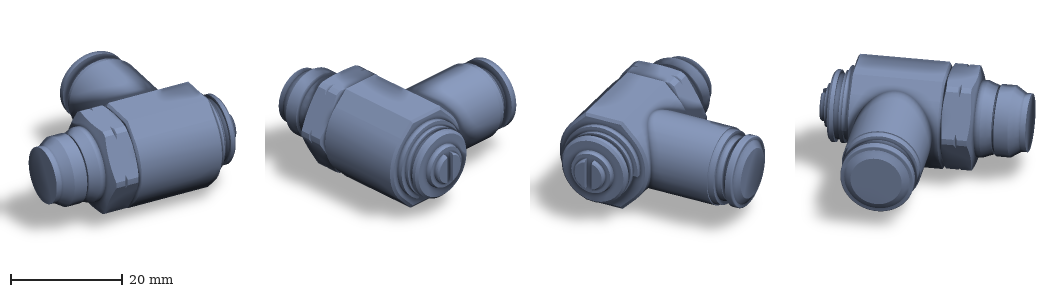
import cadquery as cq
import math


body_width = 18.0
body_half_length = 8.55
body_chamfer_axial = 0.55
body_chamfer_radial = 0.38

nut_flats = 17.0
nut_corner_radius = 9.5
nut_start = -body_half_length
nut_end = -14.45
nut_rear_radius = 8.17
nut_front_radius = 7.0
nut_rear_chamfer_axial = 0.5
nut_front_chamfer_axial = 0.85
notch_depth = 0.4
notch_half_width = 0.25

stem_profile = [
    (nut_end, nut_front_radius),
    (-15.45, nut_front_radius),
    (-17.48, 6.25),
    (-17.48, 5.78),
    (-17.67, 5.78),
    (-17.95, 6.55),
    (-20.5, 6.55),
    (-22.42, 5.32),
    (-23.52, 5.32),
]

disc_radius = 7.5
disc_top = 9.6
groove_radius = 5.93
flange_radius = 6.57
slot_floor = 13.45
knob_profile = [
    (body_half_length, disc_radius),
    (disc_top, disc_radius),
    (disc_top, flange_radius),
    (10.35, flange_radius),
    (10.35, groove_radius),
    (11.35, groove_radius),
    (11.35, flange_radius),
    (12.1, flange_radius),
    (12.55, 6.1),
    (12.55, 4.2),
    (12.8, 4.1),
    (slot_floor, 3.95),
    (slot_floor, 3.0),
    (14.17, 3.0),
    (14.48, 2.75),
]
screw_slot_width = 1.45

recess_start_angle = 186.0
recess_end_angle = 295.0
recess_clearance = 0.38

arm_radius = 7.25
sleeve_radius = 6.73
sleeve_round = 0.23
sleeve_face = -24.93
arm_profile = [
    (0, arm_radius),
    (-20.25, arm_radius),
    (-20.25, 7.03),
    (-21.45, 6.88),
    (-21.45, 6.1),
    (-22.55, 5.93),
    (-22.55, 4.95),
    (-23.2, 4.95),
    (-23.65, 5.3),
    (-23.65, sleeve_radius),
]
sleeve_mouth_radius = 5.95
arm_tip = -25.75
arm_tip_radius = 4.67


def turned_on_y(profile):
    """Solid of revolution about Y from (Y, radius) points."""
    outline = [(radius, y) for y, radius in profile]
    outline = [(0, profile[0][0])] + outline + [(0, profile[-1][0])]
    return cq.Workplane("XY").polyline(outline).close().revolve(360, (0, 0, 0), (0, 1, 0))


def bar_on_y(start, end):
    """Workplane across Y at the bar's +Y end, and the length to extrude toward -Y."""
    return cq.Workplane("XZ", origin=(0, start, 0)), start - end


def make_body():
    radius = body_width / 2
    flat_half = radius * math.tan(math.pi / 8)
    tangent = radius * math.cos(math.pi / 4)
    plane, length = bar_on_y(body_half_length, -body_half_length)
    bar = (
        plane.moveTo(-flat_half, radius)
        .lineTo(flat_half, radius)
        .lineTo(tangent, tangent)
        .threePointArc((radius, 0), (tangent, -tangent))
        .lineTo(flat_half, -radius)
        .lineTo(-flat_half, -radius)
        .lineTo(-tangent, -tangent)
        .threePointArc((-radius, 0), (-tangent, tangent))
        .close()
        .extrude(length)
    )
    return bar.faces("<Y or >Y").chamfer(body_chamfer_radial, body_chamfer_axial)


def make_nut():
    plane, length = bar_on_y(nut_start, nut_end)
    corner_diameter = nut_flats / math.cos(math.pi / 6)
    hexagon = plane.polygon(6, corner_diameter).extrude(length)
    notch_y = (nut_start + nut_end) / 2
    envelope = turned_on_y([
        (nut_start, nut_rear_radius),
        (nut_start - nut_rear_chamfer_axial, nut_corner_radius),
        (notch_y + notch_half_width, nut_corner_radius),
        (notch_y, nut_corner_radius - notch_depth),
        (notch_y - notch_half_width, nut_corner_radius),
        (nut_end + nut_front_chamfer_axial, nut_corner_radius),
        (nut_end, nut_front_radius),
    ])
    return hexagon.intersect(envelope)


def make_knob():
    knob = turned_on_y(knob_profile)
    head_height = knob_profile[-1][0] - slot_floor
    screw_slot = cq.Workplane("XY", origin=(0, slot_floor, 0)).box(
        screw_slot_width, head_height, 2 * disc_radius, centered=(True, False, True)
    )
    return knob.cut(screw_slot).cut(make_rim_recess())


def make_rim_recess():
    def rim_point(radius, angle):
        turn = math.radians(angle)
        return (radius * math.cos(turn), radius * math.sin(turn))

    outer = disc_radius + recess_clearance
    middle_angle = (recess_start_angle + recess_end_angle) / 2
    plane, length = bar_on_y(disc_top, body_half_length)
    return (
        plane.moveTo(*rim_point(groove_radius, recess_start_angle))
        .lineTo(*rim_point(outer, recess_start_angle))
        .threePointArc(rim_point(outer, middle_angle), rim_point(outer, recess_end_angle))
        .lineTo(*rim_point(groove_radius, recess_end_angle))
        .threePointArc(
            rim_point(groove_radius, middle_angle), rim_point(groove_radius, recess_start_angle)
        )
        .close()
        .extrude(length)
    )


def make_arm():
    outline = cq.Workplane("XY").moveTo(0, 0)
    for x, radius in arm_profile:
        outline = outline.lineTo(x, radius)
    outline = (
        outline.lineTo(sleeve_face + sleeve_round, sleeve_radius)
        .radiusArc((sleeve_face, sleeve_radius - sleeve_round), -sleeve_round)
        .lineTo(sleeve_face, sleeve_mouth_radius)
        .lineTo(arm_tip, arm_tip_radius)
        .lineTo(arm_tip, 0)
        .close()
    )
    return outline.revolve(360, (0, 0, 0), (1, 0, 0))


result = (
    make_body()
    .union(make_arm())
    .union(make_nut())
    .union(turned_on_y(stem_profile))
    .union(make_knob())
)